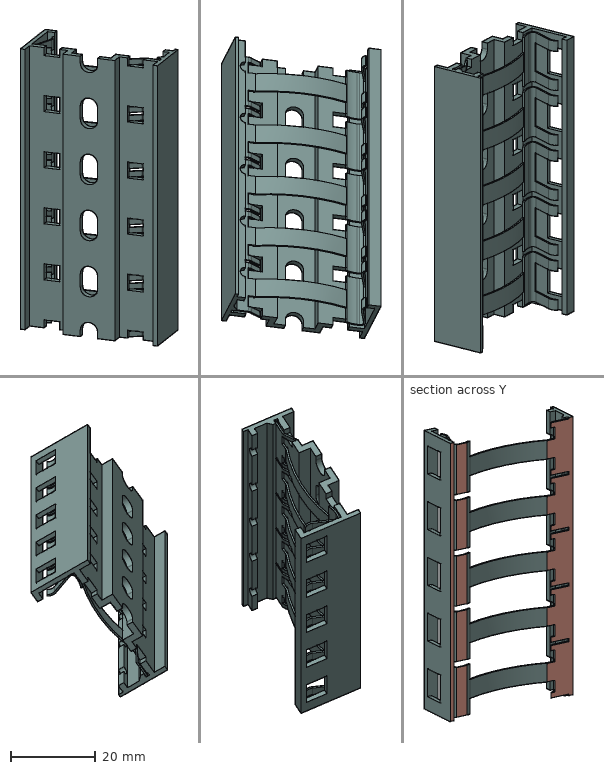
import cadquery as cq
import math

length = 70.0
width = 35.0
mid_x = width / 2

wall = 1.2
left_height = 16.0
right_height = 13.4
left_lip_reach = 3.0
left_lip_depth = 1.5
right_lip_reach = 2.8
right_lip_top = 12.1
right_lip_depth = 1.55
right_tip_wall = 0.8

web = 1.6
web_bottom = 3.0
web_top = web_bottom + web
channel_width = 13.2
channel_left = mid_x - channel_width / 2
channel_right = mid_x + channel_width / 2

nose_reach = 1.05
nose_drop = 1.1
nose_tip_top = 6.15
nose_bottom = 5.3
relief_width = 0.6
relief_depth = 0.2

pitch = 14.0
slot_width = 4.4
slot_length = 7.55
square_side = 4.0
square_offset = 10.65
window_length = 7.0
window_bottom = 9.1
window_top = left_height - left_lip_depth
notch_radius = 1.25

strip = 0.455
strip_mid_y = web_top + strip / 2
arch_width = 4.75
arch_top_x = 16.3
arch_top_y = 7.0
arch_right = 28.4
foot_width = 12.6
foot_end = 5.8
foot_flat_end = 3.15
foot_rise = 0.55
bend_start = 2.5
bend_radius = 1.05
arm_gap = 7.3
arm_angle = math.radians(70)
arm_straight = 5.3
curl_tip = (3.0, 13.45)
tongue_width = 13.3
tongue_end = width - wall
tab_gap = 10.5
tab_bend_start = 29.75
tab_tip = (26.45, 3.3)
tab_bend_end = (29.05, 4.8)

clip_count = round(length / pitch)
edge_positions = [-length / 2 + pitch * i for i in range(clip_count + 1)]
clip_positions = [z + pitch / 2 for z in edge_positions[:-1]]


def block(x0, x1, y0, y1, z_mid, z_size):
    """Box given by its X and Y limits and its middle and size along Z."""
    middle = ((x0 + x1) / 2, (y0 + y1) / 2, z_mid)
    return cq.Workplane("XY").box(x1 - x0, y1 - y0, z_size).translate(middle)


def make_rail():
    """Extruded section, drawn from the bottom left corner."""
    nose_x = width - wall - nose_reach
    right_inner = width - wall
    outline = [
        (0, 0), (wall, 0), (wall, web_bottom), (channel_left, web_bottom),
        (channel_left, 0), (channel_right, 0), (channel_right, web_bottom),
        (right_inner, web_bottom), (right_inner, 0), (width, 0),
        (width, right_height), (width - right_tip_wall, right_height),
        (width - right_tip_wall, right_lip_top), (width - right_lip_reach, right_lip_top),
        (width - right_lip_reach, right_lip_top - right_lip_depth),
        (right_inner, right_lip_top - right_lip_depth),
        (right_inner, nose_tip_top + nose_drop), (nose_x, nose_tip_top),
        (nose_x, nose_bottom), (right_inner, nose_bottom),
        (right_inner, web_top - relief_depth), (right_inner - relief_width, web_top - relief_depth),
        (right_inner - relief_width, web_top), (channel_right - web, web_top),
        (channel_right - web, web), (channel_left + web, web),
        (channel_left + web, web_top), (wall, web_top),
        (wall, left_height - left_lip_depth), (left_lip_reach, left_height - left_lip_depth),
        (left_lip_reach, left_height), (0, left_height),
    ]
    return cq.Workplane("XY").workplane(offset=-length / 2).polyline(outline).close().extrude(length)


def cut_openings(rail):
    """Slots and squares through the web, windows in the left wall, notches in the right lip."""
    for z in edge_positions:
        slot = cq.Workplane("XZ").center(mid_x, z).slot2D(slot_length, slot_width, 90).extrude(-web_top)
        rail = rail.cut(slot)
        half = square_side / 2
        for x in (mid_x - square_offset, mid_x + square_offset):
            rail = rail.cut(block(x - half, x + half, web_bottom, web_top, z, square_side))
    for z in clip_positions:
        rail = rail.cut(block(0, wall, window_bottom, window_top, z, window_length))
        notch = cq.Workplane("XZ").center(width - right_lip_reach, z).circle(notch_radius)
        notch = notch.extrude(-right_lip_depth).translate((0, right_lip_top - right_lip_depth, 0))
        rail = rail.cut(notch)
    return rail


def bent_strip(path, strip_width):
    """Sweep the sheet thickness along a path in the XY plane, centred on Z = 0."""
    wire = path.val()
    start = cq.Plane(origin=wire.startPoint(), xDir=(0, 0, 1), normal=wire.tangentAt(0))
    return cq.Workplane(start).rect(strip_width, strip).sweep(path)


def make_arch():
    """Bowed middle strip from the raised end of the foot to the tongue."""
    path = (
        cq.Workplane("XY").moveTo(foot_end, strip_mid_y + foot_rise)
        .threePointArc((arch_top_x, arch_top_y), (arch_right, strip_mid_y))
    )
    return bent_strip(path, arch_width)


def make_foot():
    """Wide foot on the web, bent up into two arms beside the window and curled at the tips."""
    bend_end = (
        bend_start - bend_radius * math.sin(arm_angle),
        strip_mid_y + bend_radius * (1 + math.cos(arm_angle)),
    )
    bend_half_turn = (math.pi - arm_angle) / 2
    bend_middle = (
        bend_start - bend_radius * math.sin(bend_half_turn),
        strip_mid_y + bend_radius * (1 - math.cos(bend_half_turn)),
    )
    arm_end = (
        bend_end[0] + arm_straight * math.cos(arm_angle),
        bend_end[1] + arm_straight * math.sin(arm_angle),
    )
    foot_radius = ((foot_end - foot_flat_end) ** 2 + foot_rise ** 2) / (2 * foot_rise)
    path = (
        cq.Workplane("XY").moveTo(foot_end, strip_mid_y + foot_rise)
        .radiusArc((foot_flat_end, strip_mid_y), foot_radius)
        .lineTo(bend_start, strip_mid_y)
        .threePointArc(bend_middle, bend_end)
        .lineTo(*arm_end)
        .tangentArcPoint(curl_tip, relative=False).wire()
    )
    gap = block(0, foot_end, strip_mid_y + bend_radius, left_height, 0, arm_gap)
    return bent_strip(path, foot_width).cut(gap)


def make_tongue():
    """Flat tongue held under the nose, with a tab bent down into the web at each side."""
    tongue_y = nose_bottom - strip / 2
    path = (
        cq.Workplane("XY").moveTo(tongue_end, tongue_y).lineTo(tab_bend_start, tongue_y)
        .tangentArcPoint(tab_bend_end, relative=False).lineTo(*tab_tip).wire()
    )
    gap = block(0, tab_bend_start, 0, nose_bottom, 0, tab_gap)
    neck = block(arch_right - strip, tab_bend_start, nose_bottom - strip, nose_bottom, 0, arch_width)
    return bent_strip(path, tongue_width).cut(gap).union(neck)


result = cut_openings(make_rail())
clip = make_arch().union(make_foot()).union(make_tongue())
for z in clip_positions:
    result = result.union(clip.translate((0, 0, z)))